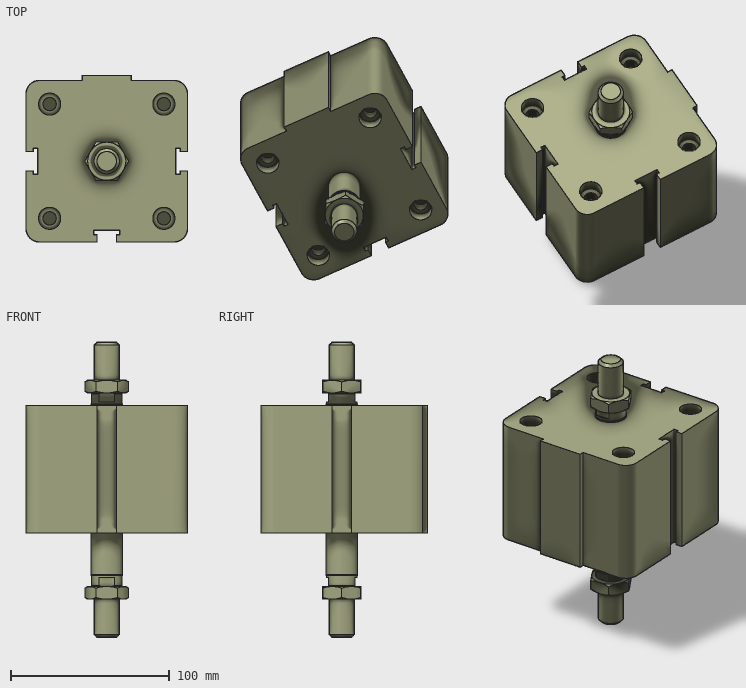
import cadquery as cq
import math


ROD_LENGTH = 186.0
ROD_DIAMETER = 20.0
NECK_DIAMETER = 19.5
THREAD_DIAMETER = 16.0
TIP_CHAMFER = 1.9
SHOULDER_FROM_END = 39.5
SHOULDER_CHAMFER_LENGTH = 0.5
NECK_CHAMFER = 0.5
FLATS_FROM_END = 37.5
WRENCH_FLATS_WIDTH = 17.0

NUT_ACROSS_FLATS = 24.0
NUT_THICKNESS = 8.0
NUT_FROM_END = 24.0
NUT_CHAMFER_ANGLE = 30.0

HOUSING_SIDE = 102.0
HOUSING_HEIGHT = 80.5
HOUSING_FROM_TOP = 39.8
CORNER_RADIUS = 8.5
PAD_WIDTH = 31.0
PAD_HEIGHT = 3.2

SLOT_OPENING = 12.0
SLOT_INNER_WIDTH = 16.2
SLOT_LIP = 4.6
SLOT_DEPTH = 7.5

HOLE_SPACING = 72.0
COUNTERBORE_DIAMETER = 14.0
COUNTERBORE_DEPTH = 8.5
HOLE_DIAMETER = 8.4
HOLE_DEPTH = 16.2

HOUSING_TOP = ROD_LENGTH - HOUSING_FROM_TOP
HOUSING_BOTTOM = HOUSING_TOP - HOUSING_HEIGHT
NECK_START = NUT_FROM_END + NUT_THICKNESS


def cylinder(diameter, start, length):
    """Cylinder on the Z axis that starts at the height `start`."""
    return cq.Workplane("XY").workplane(offset=start).circle(diameter / 2).extrude(length)


def slot_cutter():
    """T-slot cutter over the whole housing height, opening on the -Y side."""
    wall = -HOUSING_SIDE / 2
    mouth = cq.Workplane("XY").box(
        SLOT_OPENING, SLOT_DEPTH, HOUSING_HEIGHT, centered=(True, False, False)
    )
    inner = cq.Workplane("XY").box(
        SLOT_INNER_WIDTH, SLOT_DEPTH - SLOT_LIP, HOUSING_HEIGHT, centered=(True, False, False)
    )
    cutter = mouth.union(inner.translate((0, SLOT_LIP, 0)))
    return cutter.translate((0, wall, HOUSING_BOTTOM))


def make_housing():
    block = (
        cq.Workplane("XY")
        .box(HOUSING_SIDE, HOUSING_SIDE, HOUSING_HEIGHT, centered=(True, True, False))
        .edges("|Z")
        .fillet(CORNER_RADIUS)
    )
    pad = cq.Workplane("XY").box(
        PAD_WIDTH, HOUSING_SIDE / 2 + PAD_HEIGHT, HOUSING_HEIGHT, centered=(True, False, False)
    )
    housing = block.union(pad).translate((0, 0, HOUSING_BOTTOM))

    for angle in (-90, 0, 90):
        housing = housing.cut(slot_cutter().rotate((0, 0, 0), (0, 0, 1), angle))

    for face in (">Z", "<Z"):
        housing = (
            housing.faces(face)
            .workplane(origin=(0, 0, 0))
            .rect(HOLE_SPACING, HOLE_SPACING, forConstruction=True)
            .vertices()
            .cboreHole(HOLE_DIAMETER, COUNTERBORE_DIAMETER, COUNTERBORE_DEPTH, HOLE_DEPTH)
        )

    return housing.cut(cylinder(ROD_DIAMETER, HOUSING_BOTTOM, HOUSING_HEIGHT))


def half_rod():
    """Lower half of the rod, from its end on Z = 0 to its middle."""
    thread_radius = THREAD_DIAMETER / 2
    neck_radius = NECK_DIAMETER / 2
    rod_radius = ROD_DIAMETER / 2
    middle = ROD_LENGTH / 2
    rod = (
        cq.Workplane("XZ")
        .moveTo(0, 0)
        .lineTo(thread_radius - TIP_CHAMFER, 0)
        .lineTo(thread_radius, TIP_CHAMFER)
        .lineTo(thread_radius, NECK_START)
        .lineTo(neck_radius - NECK_CHAMFER, NECK_START)
        .lineTo(neck_radius, NECK_START + NECK_CHAMFER)
        .lineTo(neck_radius, SHOULDER_FROM_END - SHOULDER_CHAMFER_LENGTH)
        .lineTo(rod_radius, SHOULDER_FROM_END)
        .lineTo(rod_radius, middle)
        .lineTo(0, middle)
        .close()
        .revolve(360, (0, 0, 0), (0, 1, 0))
    )
    flats_length = FLATS_FROM_END - NECK_START
    neck_band = cylinder(ROD_DIAMETER, NECK_START, flats_length)
    between_flats = cq.Workplane("XY").box(
        ROD_DIAMETER, WRENCH_FLATS_WIDTH, flats_length, centered=(True, True, False)
    )
    return rod.cut(neck_band.cut(between_flats.translate((0, 0, NECK_START))))


def make_rod():
    lower = half_rod()
    upper = lower.mirror("XY").translate((0, 0, ROD_LENGTH))
    return lower.union(upper)


def make_nut(start):
    """Hex nut with both faces chamfered, its lower face at the height `start`."""
    corner_radius = NUT_ACROSS_FLATS / 2 / math.cos(math.pi / 6)
    face_radius = NUT_ACROSS_FLATS / 2
    chamfer = (corner_radius - face_radius) * math.tan(math.radians(NUT_CHAMFER_ANGLE))
    hexagon = cq.Workplane("XY").polygon(6, 2 * corner_radius).extrude(NUT_THICKNESS)
    envelope = (
        cq.Workplane("XZ")
        .moveTo(0, 0)
        .lineTo(face_radius, 0)
        .lineTo(corner_radius, chamfer)
        .lineTo(corner_radius, NUT_THICKNESS - chamfer)
        .lineTo(face_radius, NUT_THICKNESS)
        .lineTo(0, NUT_THICKNESS)
        .close()
        .revolve(360, (0, 0, 0), (0, 1, 0))
    )
    bore = cylinder(THREAD_DIAMETER, 0, NUT_THICKNESS)
    return hexagon.intersect(envelope).cut(bore).translate((0, 0, start))


housing = make_housing()
rod = make_rod()
nut_starts = (NUT_FROM_END, ROD_LENGTH - NUT_FROM_END - NUT_THICKNESS)
nuts = [make_nut(start) for start in nut_starts]

result = cq.Compound.makeCompound([housing.val(), rod.val(), *[nut.val() for nut in nuts]])